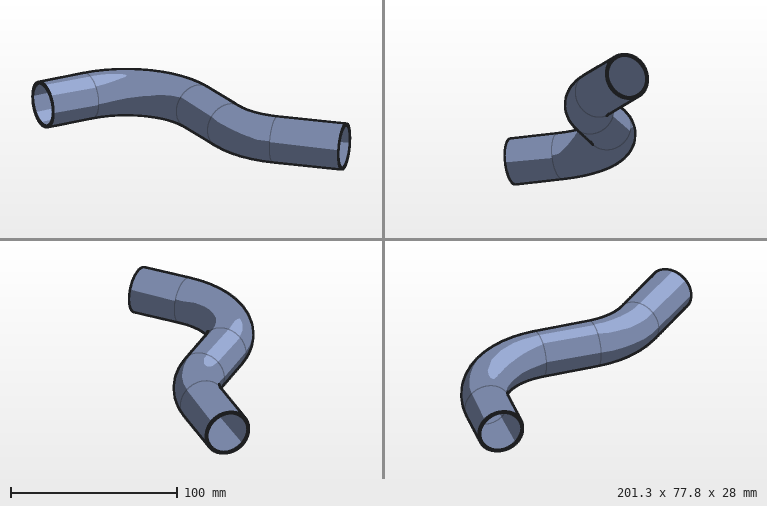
import cadquery as cq
import math

outer_diameter = 28.0
inner_diameter = 25.6
bend_radius = 49.7

right_leg = 42.8
middle_leg = 35.03
left_leg = 30.5

middle_slope = 42.5
left_slope = 42.6


def step(point, length, angle):
    """Point reached by moving a length along a direction given in degrees."""
    direction = math.radians(angle)
    return (point[0] + length * math.cos(direction), point[1] + length * math.sin(direction))


def build_centreline():
    right_end = (0.0, 0.0)
    lower_bend_start = step(right_end, right_leg, 180)

    lower_bend_centre = step(lower_bend_start, bend_radius, 90)
    lower_bend_middle = step(lower_bend_centre, bend_radius, -90 - middle_slope / 2)
    lower_bend_end = step(lower_bend_centre, bend_radius, -90 - middle_slope)

    upper_bend_start = step(lower_bend_end, middle_leg, 180 - middle_slope)
    upper_bend_centre = step(upper_bend_start, bend_radius, -90 - middle_slope)
    upper_bend_crest = step(upper_bend_centre, bend_radius, 90)
    upper_bend_end = step(upper_bend_centre, bend_radius, 90 + left_slope)

    left_end = step(upper_bend_end, left_leg, 180 + left_slope)

    return (
        cq.Workplane("XY")
        .moveTo(*right_end)
        .lineTo(*lower_bend_start)
        .threePointArc(lower_bend_middle, lower_bend_end)
        .lineTo(*upper_bend_start)
        .threePointArc(upper_bend_crest, upper_bend_end)
        .lineTo(*left_end)
    )


def build_tube():
    ring = cq.Workplane("YZ").circle(outer_diameter / 2).circle(inner_diameter / 2)
    return ring.sweep(build_centreline())


result = build_tube()